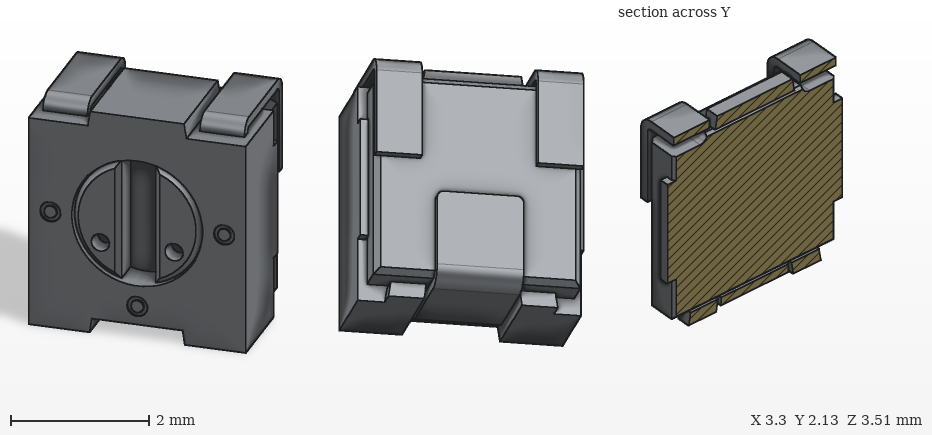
import cadquery as cq
import math

DIAGONAL = math.sqrt(0.5)


housing_width = 3.30
housing_depth = 1.327
housing_top = 1.45
housing_bottom = -1.83
ledge_back = 1.52
ledge_half_height = 0.89

tongue_back = 1.60
tongue_top = 1.68
tongue_base_half_width = 0.75
tongue_tip_half_width = 0.712
notch_ceiling = -1.607
notch_ceiling_half_width = 0.69
notch_mouth_half_width = 0.723
foot_outer_bottom = 1.25
foot_outer_top = 1.215

substrate_half_width = 1.53
substrate_back = 1.95
substrate_chamfer = 0.09
corner_step_depth = 0.133
corner_step_inner = 0.90

sheet = 0.15
tight_inner_bend = tongue_top - housing_top - sheet
upper_terminal_width = 0.675
upper_terminal_back = 2.11
upper_terminal_end = 0.188
terminal_front = 0.309
wide_inner_bend = 0.135
lower_terminal_width = 1.28
lower_terminal_back = 2.13
lower_terminal_bottom = notch_ceiling - sheet
lower_terminal_end = -0.353
lower_corner_radius = 0.10

well_radius = 0.993
rotor_radius = 0.975
well_depth = 0.60
rotor_chamfer = 0.08
slot_half_width = 0.26
slot_depth = 0.50
rotor_hole_radius = 0.136
rotor_hole_depth = 0.30
rotor_hole_x = 0.559
rotor_hole_z = -0.38

mark_distance = 1.32
mark_outer_radius = 0.155
mark_inner_radius = 0.095
mark_depth = 0.03


def box(x0, x1, y0, y1, z0, z1):
    """Box between two opposite corners."""
    return cq.Workplane("XY").box(x1 - x0, y1 - y0, z1 - z0, centered=False).translate((x0, y0, z0))


def front_prism(points, y0, y1):
    """Extrude an outline of (x, z) points from y0 back to y1."""
    return cq.Workplane("XZ", origin=(0, y0, 0)).polyline(points).close().extrude(y0 - y1)


def disc(x, z, radius, y0, y1):
    """Cylinder along Y from y0 back to y1."""
    return cq.Workplane("XZ", origin=(x, y0, z)).circle(radius).extrude(y0 - y1)


def trapezoid(half_width_0, z0, half_width_1, z1):
    """Points of a trapezoid centred on x = 0, from height z0 to z1."""
    return [(-half_width_0, z0), (half_width_0, z0), (half_width_1, z1), (-half_width_1, z1)]


def make_housing():
    half_width = housing_width / 2
    block = box(-half_width, half_width, 0, housing_depth, housing_bottom, housing_top)
    ledge = box(-half_width, half_width, 0, ledge_back, -ledge_half_height, ledge_half_height)
    tongue = front_prism(
        trapezoid(tongue_base_half_width, housing_top, tongue_tip_half_width, tongue_top), 0, tongue_back
    )
    feet = front_prism(
        trapezoid(foot_outer_bottom, housing_bottom, foot_outer_top, notch_ceiling), 0, tongue_back
    )
    notch = front_prism(
        trapezoid(notch_mouth_half_width, housing_bottom, notch_ceiling_half_width, notch_ceiling),
        0,
        tongue_back,
    )
    return block.union(ledge).union(tongue).union(feet).cut(notch)


def make_substrate():
    plate = box(
        -substrate_half_width, substrate_half_width, housing_depth, substrate_back, notch_ceiling, housing_top
    )
    plate = plate.faces("<Y or >Y").chamfer(substrate_chamfer)
    for side in (-1, 1):
        plate = plate.cut(make_corner_step(side))
    return plate


def make_corner_step(side):
    """Clearance cut under an upper terminal, with an inner wall curving down into the floor."""
    wall_x = side * corner_step_inner
    outer_x = side * substrate_half_width
    radius = corner_step_depth
    floor_z = housing_top - radius
    middle = (wall_x + side * radius * (1 - DIAGONAL), floor_z + radius * (1 - DIAGONAL))
    return (
        cq.Workplane("XZ", origin=(0, housing_depth, 0))
        .moveTo(wall_x, housing_top)
        .threePointArc(middle, (wall_x + side * radius, floor_z))
        .lineTo(outer_x, floor_z)
        .lineTo(outer_x, housing_top)
        .close()
        .extrude(housing_depth - substrate_back)
    )


def make_terminal(centre_x, width, flat_z, back_y, end_z, inner_bend, up):
    """Sheet strip with a flat run whose outer face is at flat_z.

    The back leg runs to end_z and the front end curls towards the housing with the tight bend.
    up is the direction along Z from the outer face into the part.
    """
    outer_bend = inner_bend + sheet
    front_outer_bend = tight_inner_bend + sheet
    flat_inner_z = flat_z + up * sheet
    back_centre = (back_y - outer_bend, flat_z + up * outer_bend)
    front_centre = (terminal_front + front_outer_bend, flat_z + up * front_outer_bend)

    def back_middle(radius):
        return back_centre[0] + radius * DIAGONAL, back_centre[1] - up * radius * DIAGONAL

    def front_middle(radius):
        return front_centre[0] - radius * DIAGONAL, front_centre[1] - up * radius * DIAGONAL

    profile = (
        cq.Workplane("YZ", origin=(centre_x - width / 2, 0, 0))
        .moveTo(back_y, end_z)
        .lineTo(back_y, back_centre[1])
        .threePointArc(back_middle(outer_bend), (back_centre[0], flat_z))
        .lineTo(front_centre[0], flat_z)
        .threePointArc(front_middle(front_outer_bend), (terminal_front, front_centre[1]))
        .lineTo(terminal_front + sheet, front_centre[1])
        .threePointArc(front_middle(tight_inner_bend), (front_centre[0], flat_inner_z))
        .lineTo(back_centre[0], flat_inner_z)
        .threePointArc(back_middle(inner_bend), (back_y - sheet, back_centre[1]))
        .lineTo(back_y - sheet, end_z)
        .close()
    )
    return profile.extrude(width)


def make_upper_terminal(side):
    return make_terminal(
        side * (substrate_half_width - upper_terminal_width / 2),
        upper_terminal_width,
        tongue_top,
        upper_terminal_back,
        upper_terminal_end,
        tight_inner_bend,
        -1,
    )


def make_lower_terminal():
    strip = make_terminal(
        0,
        lower_terminal_width,
        lower_terminal_bottom,
        lower_terminal_back,
        lower_terminal_end,
        wide_inner_bend,
        1,
    )
    return strip.faces(">Z").edges("|Y").fillet(lower_corner_radius)


def make_rotor():
    rotor = disc(0, 0, rotor_radius, 0, well_depth).faces("<Y").chamfer(rotor_chamfer)
    slot = box(-slot_half_width, slot_half_width, 0, slot_depth, -rotor_radius, rotor_radius)
    slot_mouth = trapezoid(slot_half_width + rotor_chamfer, 0, slot_half_width, rotor_chamfer)
    slot_flare = (
        cq.Workplane("XY", origin=(0, 0, -rotor_radius)).polyline(slot_mouth).close().extrude(2 * rotor_radius)
    )
    rotor = rotor.cut(slot).cut(slot_flare)
    for side in (-1, 1):
        rotor = rotor.cut(disc(side * rotor_hole_x, rotor_hole_z, rotor_hole_radius, 0, rotor_hole_depth))
    return rotor


def make_index_mark(x, z):
    return disc(x, z, mark_outer_radius, 0, mark_depth).cut(disc(x, z, mark_inner_radius, 0, mark_depth))


result = make_housing().union(make_substrate())
for terminal_side in (-1, 1):
    result = result.union(make_upper_terminal(terminal_side))
result = result.union(make_lower_terminal())
result = result.cut(disc(0, 0, well_radius, 0, well_depth)).union(make_rotor())
for mark_x, mark_z in ((-mark_distance, 0), (mark_distance, 0), (0, -mark_distance)):
    result = result.cut(make_index_mark(mark_x, mark_z))